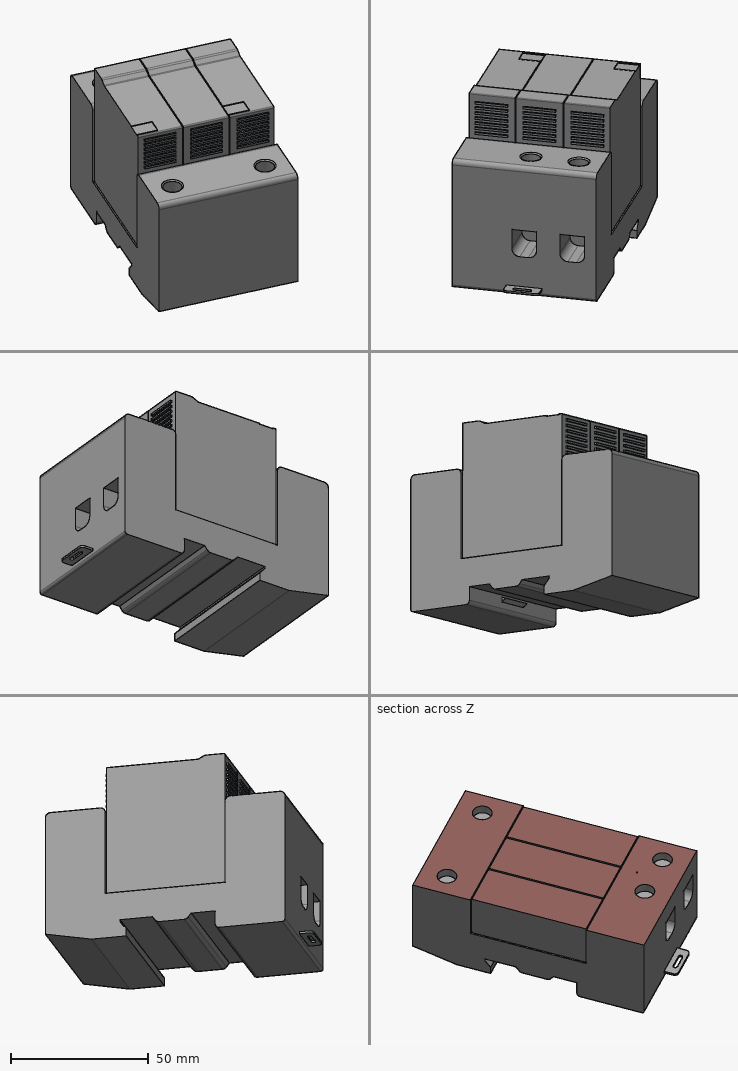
import cadquery as cq

base_length = 90.0
base_width = 54.0
base_height = 50.5
tower_fillet = 1.9
left_bottom_fillet = 1.0
under_slope_start = 72.6
under_slope_height = 3.6

notch_left = 26.2
notch_right = 61.9
notch_height = 6.5
foot_fillet = 1.5
hook_tip = 59.6
hook_tip_height = 3.1
hook_wall_height = 5.7
rib_center = 42.5
rib_top_width = 14.6
rib_bottom_width = 11.2
rib_bottom = 4.35
rib_fillet = 2.0

saddle_left = 22.5
saddle_right = base_length - saddle_left
saddle_floor = 17.3

module_count = 3
module_pitch = base_width / module_count
module_gap = 0.4
module_side_inset = 0.6
module_end_clearance = 0.25
module_left = saddle_left + module_end_clearance
module_right = saddle_right - module_end_clearance
module_top = 67.4
module_step_top = 66.1
step_start = 30.2
step_end = 32.8
step_convex_fillet = 2.0
step_concave_fillet = 1.0
module_left_fillet = 0.3
module_right_fillet = 0.5

slat_count = 7
slat_pitch = 2.0
slat_width = 12.2
slat_thickness = 0.8
slat_projection = 0.7
lowest_slat = 52.0

window_left = 60.1
window_length = 5.8
window_width = 8.1
window_depth = 0.3

screw_inset = 10.0
screw_diameter = 7.0
screw_depth = 20.0
screw_chamfer = 0.5
left_terminals = (0, -module_pitch)
right_terminals = (module_pitch, -module_pitch)
wire_width = 9.2
wire_bottom = 14.9
wire_top = 25.4
wire_fillet = 3.0
wire_depth = 15.0

tab_length = 5.08
tab_width = 13.4
tab_bottom = 2.4
tab_thickness = 0.8
tab_corner = 1.5
tab_overlap = 2.0
slot_center = -2.8
slot_length = 6.9
slot_width = 1.55
nose_tip = 27.8
nose_bottom = 3.9
nose_tip_height = 5.2
nose_top = 5.7


def round_edges(body, x, z, radius):
    """Fillet the edge parallel to Y that passes through (x, z)."""
    tolerance = 0.05
    low = (x - tolerance, -base_width, z - tolerance)
    high = (x + tolerance, base_width, z + tolerance)
    return body.edges(cq.selectors.BoxSelector(low, high)).edges("|Y").fillet(radius)


def box_between(x0, x1, y0, y1, z0, z1):
    """Box given by its limits along X, Y and Z."""
    return cq.Workplane("XY").box(x1 - x0, y1 - y0, z1 - z0, centered=False).translate((x0, y0, z0))


def extrude_profile(points, width):
    """Extrude an XZ outline symmetrically about Y = 0."""
    return cq.Workplane("XZ").polyline(points).close().extrude(width / 2, both=True)


def make_base():
    """Base with two towers, the saddle between them and the rail notch below."""
    rib_left_top = rib_center - rib_top_width / 2
    rib_right_top = rib_center + rib_top_width / 2
    rib_left_bottom = rib_center - rib_bottom_width / 2
    rib_right_bottom = rib_center + rib_bottom_width / 2
    outline = [
        (0, 0),
        (notch_left, 0),
        (notch_left, notch_height),
        (rib_left_top, notch_height),
        (rib_left_bottom, rib_bottom),
        (rib_right_bottom, rib_bottom),
        (rib_right_top, notch_height),
        (notch_right, notch_height),
        (notch_right, hook_wall_height),
        (hook_tip, hook_tip_height),
        (hook_tip, 0),
        (under_slope_start, 0),
        (base_length, under_slope_height),
        (base_length, base_height),
        (saddle_right, base_height),
        (saddle_right, saddle_floor),
        (saddle_left, saddle_floor),
        (saddle_left, base_height),
        (0, base_height),
    ]
    base = extrude_profile(outline, base_width)
    for x in (0, saddle_left, saddle_right, base_length):
        base = round_edges(base, x, base_height, tower_fillet)
    for x in (rib_left_bottom, rib_right_bottom):
        base = round_edges(base, x, rib_bottom, rib_fillet)
    base = round_edges(base, 0, 0, left_bottom_fillet)
    return round_edges(base, notch_left, 0, foot_fillet)


def make_modules():
    """Stepped row of modules standing on the saddle floor, parted by narrow gaps."""
    outline = [
        (module_left, saddle_floor),
        (module_right, saddle_floor),
        (module_right, module_step_top),
        (step_end, module_step_top),
        (step_start, module_top),
        (module_left, module_top),
    ]
    modules = extrude_profile(outline, base_width - 2 * module_side_inset)
    modules = round_edges(modules, step_start, module_top, step_convex_fillet)
    modules = round_edges(modules, step_end, module_step_top, step_concave_fillet)
    modules = round_edges(modules, module_left, module_top, module_left_fillet)
    modules = round_edges(modules, module_right, module_step_top, module_right_fillet)
    for index in range(1, module_count):
        y = index * module_pitch - base_width / 2
        gap = box_between(
            module_left, module_right, y - module_gap / 2, y + module_gap / 2, saddle_floor, module_top
        )
        modules = modules.cut(gap)
    return modules


def add_slats(body):
    """Each bar runs through its module and sticks out at both ends."""
    bar_length = module_right - module_left + 2 * slat_projection
    bar_center = (module_left + module_right) / 2
    for row in range(slat_count):
        z = lowest_slat + row * slat_pitch
        slats = (
            cq.Workplane("XY", origin=(bar_center, 0, z))
            .rarray(1, module_pitch, 1, module_count)
            .box(bar_length, slat_width, slat_thickness)
        )
        body = body.union(slats)
    return body


def cut_windows(body):
    """Sink a window into both outer modules, open towards their -Y side."""
    first_side = module_side_inset - base_width / 2
    last_side = base_width / 2 - module_pitch + module_gap / 2
    for y in (first_side, last_side):
        window = box_between(
            window_left,
            window_left + window_length,
            y,
            y + window_width,
            module_step_top - window_depth,
            module_step_top,
        )
        body = body.cut(window)
    return body


def cut_screw_holes(body):
    """Blind, countersunk screw holes in the tops of both towers."""
    centers = [(screw_inset, y) for y in left_terminals]
    centers += [(base_length - screw_inset, y) for y in right_terminals]
    for x, y in centers:
        mouth = cq.Workplane("XY", origin=(x, y, base_height))
        hole = mouth.circle(screw_diameter / 2).extrude(-screw_depth)
        countersink = (
            mouth.circle(screw_diameter / 2 + screw_chamfer)
            .workplane(offset=-screw_chamfer)
            .circle(screw_diameter / 2)
            .loft()
        )
        body = body.cut(hole).cut(countersink)
    return body


def cut_wire_openings(body):
    """Blind openings with rounded lower corners in the left wall."""
    for y in left_terminals:
        opening = box_between(0, wire_depth, y - wire_width / 2, y + wire_width / 2, wire_bottom, wire_top)
        opening = opening.faces("<Z").edges("|X").fillet(wire_fillet)
        body = body.cut(opening)
    return body


def make_latch():
    """Slotted pull tab on the left wall, together with the nose in the notch."""
    tab = box_between(
        -tab_length, tab_overlap, -tab_width / 2, tab_width / 2, tab_bottom, tab_bottom + tab_thickness
    )
    tab = tab.faces("<X").edges("|Z").fillet(tab_corner)
    slot = (
        cq.Workplane("XY", origin=(slot_center, 0, tab_bottom))
        .slot2D(slot_length, slot_width, 90)
        .extrude(tab_thickness)
    )
    nose_outline = [(notch_left, nose_bottom), (nose_tip, nose_tip_height), (notch_left, nose_top)]
    return tab.cut(slot).union(extrude_profile(nose_outline, tab_width))


body = make_base().union(make_modules())
body = add_slats(body)
body = cut_windows(body)
body = cut_screw_holes(body)
body = cut_wire_openings(body)
result = body.union(make_latch())